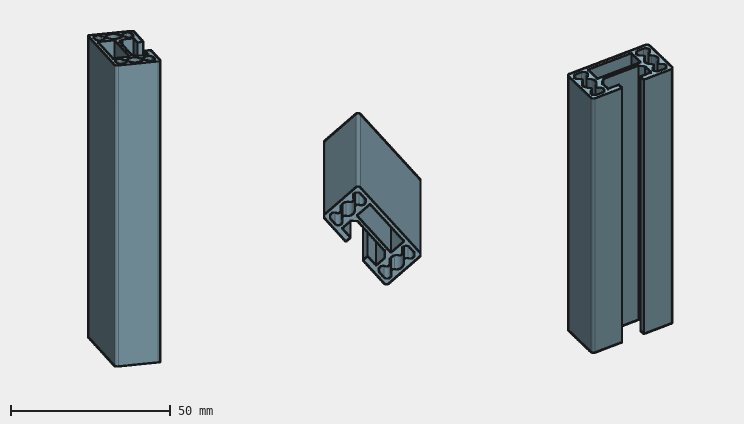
import cadquery as cq
import math

WIDTH = 30.0
DEPTH = 15.0
LENGTH = 100.0
CORNER_RADIUS = 1.0
WALL = 1.3
WEB_THICKNESS = 1.1

CHANNEL_WIDTH = 16.0
CHANNEL_DEPTH = 7.1
CHANNEL_CHAMFER = 1.5
MOUTH_WIDTH = 8.0
LIP_THICKNESS = 2.0

CAVITY_OFFSET = 11.5
LOBE_RADIUS = 2.3
END_CORNER_RADIUS = 1.3
NECK_Y = 2.7
NECK_WIDTH = 1.6

BACK_Y = DEPTH / 2
FLOOR_Y = BACK_Y - CHANNEL_DEPTH
CAVITY_END_Y = BACK_Y - WALL


def box_between(width, y_low, y_high):
    """Full-length prism centred on X, spanning y_low to y_high."""
    return (
        cq.Workplane("XY")
        .center(0, (y_low + y_high) / 2)
        .rect(width, y_high - y_low)
        .extrude(LENGTH)
    )


def make_channel():
    mouth = box_between(MOUTH_WIDTH, FLOOR_Y, BACK_Y)
    channel = box_between(CHANNEL_WIDTH, FLOOR_Y, BACK_Y - LIP_THICKNESS)
    channel = channel.edges("|Z and <Y").chamfer(CHANNEL_CHAMFER)
    return channel.union(mouth)


def make_chamber():
    return box_between(CHANNEL_WIDTH, WALL - BACK_Y, FLOOR_Y - WEB_THICKNESS)


def make_cavity(center_x):
    half_neck = NECK_WIDTH / 2

    bead_radius = (half_neck**2 + NECK_Y**2 - LOBE_RADIUS**2) / (2 * (LOBE_RADIUS - half_neck))
    bead_x = half_neck + bead_radius
    lobe_angle = math.atan2(NECK_Y, bead_x)
    lobe_tangent_x = LOBE_RADIUS * math.cos(lobe_angle)
    lobe_tangent_y = LOBE_RADIUS * math.sin(lobe_angle)

    corner_x = LOBE_RADIUS - END_CORNER_RADIUS
    outer_corner_y = CAVITY_END_Y - END_CORNER_RADIUS
    bead_angle = math.acos((bead_x - corner_x) / (bead_radius + END_CORNER_RADIUS))
    inner_corner_y = NECK_Y + (bead_radius + END_CORNER_RADIUS) * math.sin(bead_angle)
    bead_tangent_x = corner_x + END_CORNER_RADIUS * math.cos(bead_angle)
    bead_tangent_y = inner_corner_y - END_CORNER_RADIUS * math.sin(bead_angle)
    inner_mid_x = corner_x + END_CORNER_RADIUS * math.cos(bead_angle / 2)
    inner_mid_y = inner_corner_y - END_CORNER_RADIUS * math.sin(bead_angle / 2)
    outer_mid_x = corner_x + END_CORNER_RADIUS * math.sqrt(0.5)
    outer_mid_y = outer_corner_y + END_CORNER_RADIUS * math.sqrt(0.5)

    outline = cq.Workplane("XY").center(center_x, 0).moveTo(corner_x, -CAVITY_END_Y)
    for side in (1, -1):
        def at(x, y):
            return (side * x, side * y)

        outline = (
            outline
            .threePointArc(at(outer_mid_x, -outer_mid_y), at(LOBE_RADIUS, -outer_corner_y))
            .lineTo(*at(LOBE_RADIUS, -inner_corner_y))
            .threePointArc(at(inner_mid_x, -inner_mid_y), at(bead_tangent_x, -bead_tangent_y))
            .threePointArc(at(half_neck, -NECK_Y), at(lobe_tangent_x, -lobe_tangent_y))
            .threePointArc(at(LOBE_RADIUS, 0), at(lobe_tangent_x, lobe_tangent_y))
            .threePointArc(at(half_neck, NECK_Y), at(bead_tangent_x, bead_tangent_y))
            .threePointArc(at(inner_mid_x, inner_mid_y), at(LOBE_RADIUS, inner_corner_y))
            .lineTo(*at(LOBE_RADIUS, outer_corner_y))
            .threePointArc(at(outer_mid_x, outer_mid_y), at(corner_x, CAVITY_END_Y))
            .lineTo(*at(-corner_x, CAVITY_END_Y))
        )
    return outline.close().extrude(LENGTH)


result = box_between(WIDTH, -BACK_Y, BACK_Y).edges("|Z").fillet(CORNER_RADIUS)
result = result.cut(make_channel()).cut(make_chamber())
for cavity_x in (-CAVITY_OFFSET, CAVITY_OFFSET):
    result = result.cut(make_cavity(cavity_x))